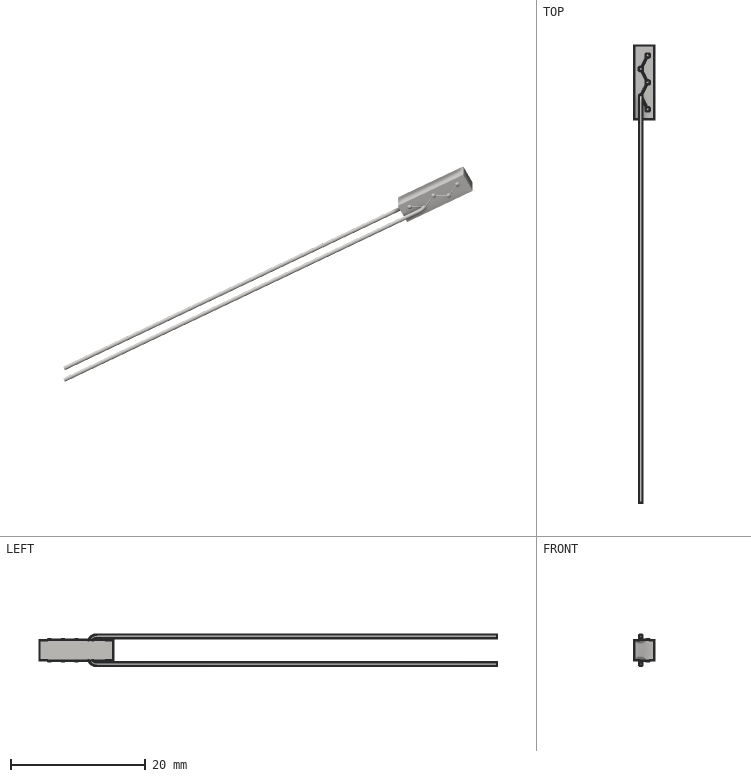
import cadquery as cq
import math

total_length = 68.1
total_height = 4.7

block_side = 3.0
end_cap_length = 0.5
segment_length = 2.0
segment_count = 5
block_top = block_side / 2
block_back = total_length / 2
slab_lengths = [end_cap_length] + [segment_length] * segment_count + [end_cap_length]

wire_diameter = 0.57
wire_radius = wire_diameter / 2
bend_radius = 1.0
lead_segment = 3
lead_height = total_height / 2 - wire_radius
lead_front = -total_length / 2

stud_offset = 0.51
stud_radius = 0.35
stud_height = 0.2
ridge_radius = 0.1


def stud_position(index):
    """Centre of one segment's stud: studs alternate between +X and -X."""
    side = 1 if index % 2 == 0 else -1
    y = block_back - end_cap_length - (index + 0.5) * segment_length
    return side * stud_offset, y


def make_block():
    """Row of flush slabs joined into one solid, keeping the seams between them."""
    block = cq.Workplane("XY")
    slab_back = block_back
    for length in slab_lengths:
        slab = cq.Workplane("XY").box(block_side, length, block_side)
        slab = slab.translate((0, slab_back - length / 2, 0))
        block = block.union(slab, clean=False)
        slab_back -= length
    return block


def make_lead():
    """Wire that rises out of the block, bends toward -Y and runs straight to its tip."""
    x, y = stud_position(lead_segment)
    root_height = lead_height - bend_radius
    half_bend = math.radians(45)
    bend_middle = (
        y - bend_radius * (1 - math.cos(half_bend)),
        root_height + bend_radius * math.sin(half_bend),
    )
    path = (
        cq.Workplane("YZ", origin=(x, 0, 0))
        .moveTo(y, root_height)
        .threePointArc(bend_middle, (y - bend_radius, lead_height))
        .lineTo(lead_front, lead_height)
    )
    return cq.Workplane("XY", origin=(x, y, root_height)).circle(wire_radius).sweep(path)


def make_stud(index):
    """Low spherical cap standing on the block's top face."""
    x, y = stud_position(index)
    sphere_radius = (stud_radius**2 + stud_height**2) / (2 * stud_height)
    cap = (
        cq.Workplane("XZ")
        .lineTo(stud_radius, 0)
        .radiusArc((0, stud_height), -sphere_radius)
        .close()
        .revolve(360, (0, 0, 0), (0, 1, 0))
    )
    return cap.translate((x, y, block_top))


def make_ridge(index):
    """Half-round ridge on the top face from one stud to the next."""
    start = cq.Vector(*stud_position(index), block_top)
    end = cq.Vector(*stud_position(index + 1), block_top)
    run = end - start
    profile_plane = cq.Plane(origin=start, xDir=run.cross(cq.Vector(0, 0, 1)), normal=run)
    half_round = (
        cq.Workplane(profile_plane)
        .moveTo(-ridge_radius, 0)
        .threePointArc((0, -ridge_radius), (ridge_radius, 0))
        .close()
    )
    return half_round.extrude(run.Length)


def make_wire():
    """Upper wire: the lead with its zigzag of ridges and studs."""
    wire = make_lead()
    for index in range(segment_count - 1):
        wire = wire.union(make_ridge(index))
    for index in range(segment_count):
        if index != lead_segment:
            wire = wire.union(make_stud(index))
    return wire


upper_wire = make_wire()
wires = [upper_wire, upper_wire.mirror("XY")]

block = make_block()
for wire in wires:
    block = block.cut(wire, clean=False)

result = cq.Compound.makeCompound([block.solids().val(), *[wire.solids().val() for wire in wires]])